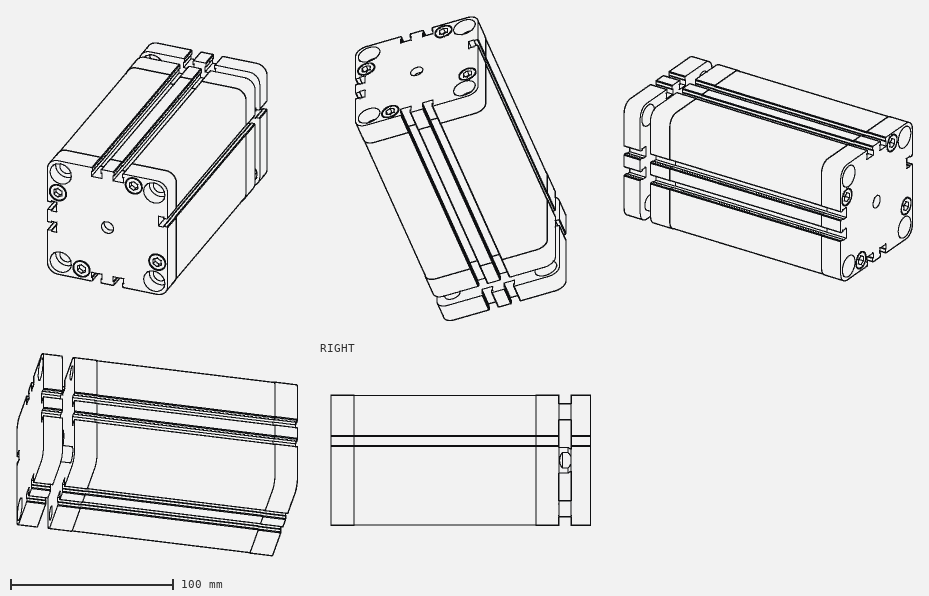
import cadquery as cq
import math

SIDE = 80.0
LENGTH = 159.5
HALF_SIDE = SIDE / 2
HALF_LENGTH = LENGTH / 2
CORNER_RADIUS = 7.2

PLATE_THICKNESS = 12.0
GAP = 7.5
CAP_LENGTH = 14.2
TUBE_INSET = 0.24
BODY_LENGTH = LENGTH - PLATE_THICKNESS - GAP
BODY_BACK_Y = HALF_LENGTH - PLATE_THICKNESS - GAP
PLATE_FRONT_Y = HALF_LENGTH - PLATE_THICKNESS

SLOT_OFFSET = 7.2
SLOT_MOUTH = 5.6
SLOT_CHAMFER = 0.5
SLOT_WIDTH = 6.9
SLOT_LIP = 2.7
SLOT_DEPTH = 6.2
SIDE_SLOT_OFFSET = 11.8

MOUNT_OFFSET = 31.1
MOUNT_DIAMETER = 8.6
COUNTERBORE_DIAMETER = 14.0
COUNTERBORE_DEPTH = 9.0
BLIND_MOUNT_DEPTH = 24

SCREW_OFFSET_LONG = 33.0
SCREW_OFFSET_SHORT = 17.4
SCREW_HEAD_DIAMETER = 10.5
SCREW_RECESS_DIAMETER = 11.2
SCREW_RECESS_DEPTH = 0.8
SOCKET_DIAMETER = 6.0
SOCKET_DEPTH = 3.2
SOCKET_TURN = 30

CENTRE_HOLE_DIAMETER = 8
CENTRE_HOLE_DEPTH = 4.3

GUIDE_OFFSET = 29.8
GUIDE_DIAMETER = 10.0
ROD_DIAMETER = 16
ROD_FLATS = 12.8
ROD_CHAMFER_LENGTH = 1.9
ROD_CHAMFER_WIDTH = 1.3
FLAT_START = 2.0


def cylinder(x, z, diameter, start_y, length):
    """Cylinder along +Y, centred on (x, z)."""
    circle = cq.Workplane("XZ", origin=(x, start_y, z)).circle(diameter / 2)
    return circle.extrude(-length)


def slot(half_side, angle, offset):
    """Undercut slot with a chamfered mouth in the +Z side, turned by angle about Y."""
    lip_z = half_side - SLOT_LIP
    floor_z = half_side - SLOT_DEPTH
    half_mouth = SLOT_MOUTH / 2
    half_width = SLOT_WIDTH / 2
    right_half = [
        (half_width, floor_z),
        (half_width, lip_z),
        (half_mouth, lip_z),
        (half_mouth, half_side - SLOT_CHAMFER),
        (half_mouth + SLOT_CHAMFER, half_side),
    ]
    left_half = [(-x, z) for x, z in reversed(right_half)]
    outline = [(offset + x, z) for x, z in right_half + left_half]
    cutter = cq.Workplane("XZ").polyline(outline).close().extrude(HALF_LENGTH, both=True)
    return cutter.rotate((0, 0, 0), (0, 1, 0), angle)


def slotted_block(start_y, length, inset=0):
    """Rounded square block along Y, slotted from end to end; inset lowers its four sides."""
    half_side = HALF_SIDE - inset
    outline = cq.Workplane("XZ", origin=(0, start_y, 0)).rect(2 * half_side, 2 * half_side)
    section = outline.extrude(-length)
    section = section.edges("|Y").fillet(CORNER_RADIUS - inset)
    for angle in (0, 180, 270):
        for offset in (-SLOT_OFFSET, SLOT_OFFSET):
            section = section.cut(slot(half_side, angle, offset))
    return section.cut(slot(half_side, 90, -SIDE_SLOT_OFFSET))


def cut_screw(body, x, z):
    """Leave a flush screw head inside a ring groove and sink its hexagon socket."""
    recess = cylinder(x, z, SCREW_RECESS_DIAMETER, -HALF_LENGTH, SCREW_RECESS_DEPTH)
    head = cylinder(x, z, SCREW_HEAD_DIAMETER, -HALF_LENGTH, SCREW_RECESS_DEPTH)
    face = cq.Workplane("XZ", origin=(x, -HALF_LENGTH, z)).transformed(rotate=(0, 0, SOCKET_TURN))
    socket = face.polygon(6, SOCKET_DIAMETER).extrude(-SOCKET_DEPTH)
    return body.cut(recess.cut(head)).cut(socket)


def make_body():
    """Two end caps with a slightly smaller tube between them; two corner holes pass right through."""
    front_cap = slotted_block(-HALF_LENGTH, CAP_LENGTH)
    tube = slotted_block(-HALF_LENGTH + CAP_LENGTH, BODY_LENGTH - 2 * CAP_LENGTH, TUBE_INSET)
    back_cap = slotted_block(BODY_BACK_Y - CAP_LENGTH, CAP_LENGTH)
    body = front_cap.union(tube).union(back_cap)
    for x in (-MOUNT_OFFSET, MOUNT_OFFSET):
        for z, depth in ((x, BLIND_MOUNT_DEPTH), (-x, BODY_LENGTH)):
            body = body.cut(cylinder(x, z, MOUNT_DIAMETER, -HALF_LENGTH, depth))
            body = body.cut(cylinder(x, z, COUNTERBORE_DIAMETER, -HALF_LENGTH, COUNTERBORE_DEPTH))
    for turn in range(4):
        angle = turn * math.pi / 2
        x = SCREW_OFFSET_SHORT * math.cos(angle) - SCREW_OFFSET_LONG * math.sin(angle)
        z = SCREW_OFFSET_SHORT * math.sin(angle) + SCREW_OFFSET_LONG * math.cos(angle)
        body = cut_screw(body, x, z)
    return body.cut(cylinder(0, 0, CENTRE_HOLE_DIAMETER, -HALF_LENGTH, CENTRE_HOLE_DEPTH))


def make_plate():
    """End plate, open in line with the two mounting holes that have no guide rod."""
    plate = slotted_block(PLATE_FRONT_Y, PLATE_THICKNESS)
    for x in (-MOUNT_OFFSET, MOUNT_OFFSET):
        plate = plate.cut(cylinder(x, -x, COUNTERBORE_DIAMETER, PLATE_FRONT_Y, PLATE_THICKNESS))
    return plate


def make_piston_rod():
    """Rod with a chamfered end and two wrench flats that run out at 45 degrees."""
    radius = ROD_DIAMETER / 2
    profile = [
        (0, BODY_BACK_Y),
        (radius, BODY_BACK_Y),
        (radius, PLATE_FRONT_Y - ROD_CHAMFER_LENGTH),
        (radius - ROD_CHAMFER_WIDTH, PLATE_FRONT_Y),
        (0, PLATE_FRONT_Y),
    ]
    rod = cq.Workplane("XY").polyline(profile).close().revolve(360, (0, 0, 0), (0, 1, 0))
    flat_x = ROD_FLATS / 2
    runout = radius - flat_x
    flat_y = BODY_BACK_Y + FLAT_START
    outline = [
        (flat_x, flat_y),
        (radius, flat_y - runout),
        (radius, PLATE_FRONT_Y),
        (flat_x, PLATE_FRONT_Y),
    ]
    flat = cq.Workplane("XY").polyline(outline).close().extrude(radius, both=True)
    return rod.cut(flat).cut(flat.mirror("YZ"))


result = make_body().union(make_plate()).union(make_piston_rod())
for place in (-GUIDE_OFFSET, GUIDE_OFFSET):
    result = result.union(cylinder(place, place, GUIDE_DIAMETER, BODY_BACK_Y, GAP))